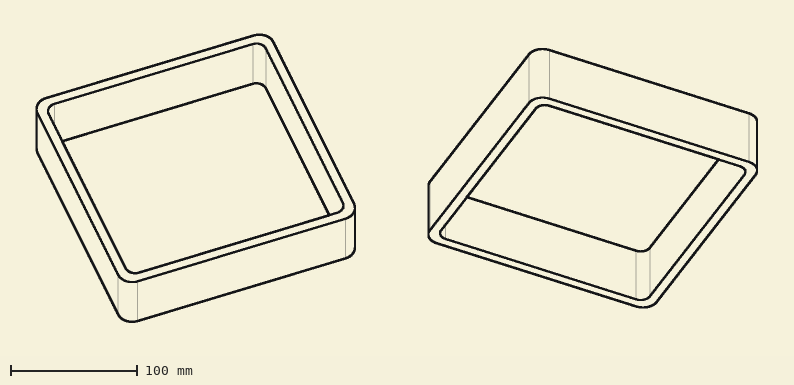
import cadquery as cq

side = 200.0
height = 50.0
wall = 8.0
outer_corner_radius = 12.0
inner_corner_radius = 8.0


def rounded_square_prism(width, corner_radius):
    """Square prism centred on the Z axis, standing on Z = 0, with rounded vertical edges."""
    prism = cq.Workplane("XY").rect(width, width).extrude(height)
    return prism.edges("|Z").fillet(corner_radius)


outer_body = rounded_square_prism(side, outer_corner_radius)
opening = rounded_square_prism(side - 2 * wall, inner_corner_radius)

result = outer_body.cut(opening)